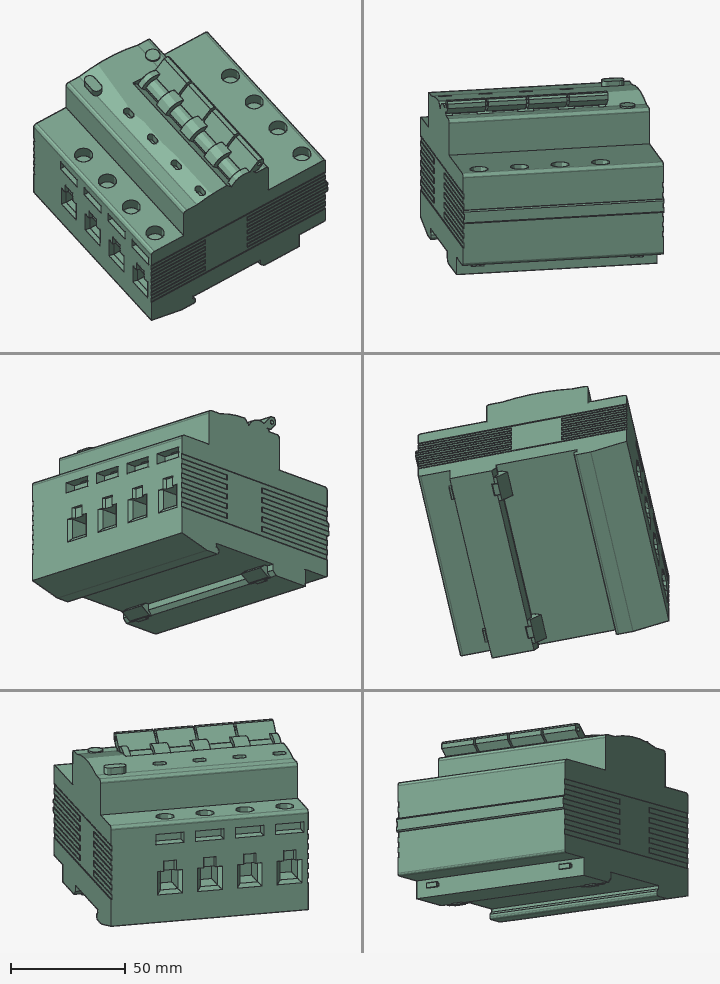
import cadquery as cq
import math


width = 89.0
back_y = 92.7
edge_radius = 1.6
lower_edge_radius = 1.1

shoulder_z = 49.4
crown_front_y = 17.2
crown_back_y = 62.2
crown_z = 65.5
dome_front_y = 24.2
dome_back_y = 55.3
dome_rise = 2.2
dome_mid_y = (dome_front_y + dome_back_y) / 2
dome_z = crown_z + dome_rise

back_tab_y = 93.8
back_tab_low_z = 27.2
back_tab_high_z = 33.2
back_tab_chamfer = 0.6

front_slope_z = 3.8
front_slope_y = 15.9
rail_z = 4.8
rail_front_y = 22.1
rail_back_y = 58.0
hook_nose_y = 23.45
hook_low_z = 1.1
hook_high_z = 2.25
hook_top_z = 3.4
back_foot_z = 2.0
back_foot_y = 59.9
back_step_y = 78.6
back_step_z = 7.9

pole_count = 4
pole_pitch = 18.0
first_pole_x = 17.5
pole_edges = [first_pole_x + i * pole_pitch for i in range(pole_count + 1)]
pole_centers = [edge + pole_pitch / 2 for edge in pole_edges[:-1]]

screw_hole_diameter = 7.8
screw_hole_depth = 5.2
screw_hole_ys = (7.9, 85.9)

label_width = 12.8
label_low_z = 39.4
label_high_z = 44.1
label_depth = 5.2

terminal_width = 11.3
terminal_low_z = 16.4
terminal_high_z = 27.0
terminal_depth = 11.3
funnel_depth = 1.4
funnel_inset = 1.7
notch_width = 5.7
notch_inset = 0.7
notch_high_z = 31.6

indicator_length = 5.8
indicator_width = 2.8
indicator_y = 29.4
indicator_offset = 3.6
indicator_floor_z = 62.8

band_low_z = 16.0
band_high_z = 40.5
band_depth = 0.4
rib_count = 5
rib_front_end_y = 28.9
rib_back_start_y = 51.2

handle_start_x = 17.9
handle_gap = 1.0
axle_y = 49.3
axle_z = 61.4
hub_radius = 7.5
hub_width = 7.0
hub_end_inset = 0.2
barrel_radius = 5.2
trough_front_y = 40.1
trough_corner_y = 44.9
trough_floor_z = 62.7
trough_back_y = 50.65

blade_top_z = 72.8
blade_top_front_y = 56.75
blade_top_back_y = 58.8
blade_back_y = 59.7
blade_bevel_z = 71.85
blade_back_low_z = 69.8
blade_heel_y = 56.7
blade_heel_z = 66.8
blade_neck_y = 54.2
blade_root_y = 50.6
blade_root_z = blade_top_z - (blade_top_front_y - blade_root_y)

tie_rod_diameter = 1.8
tie_rod_y = 57.4
tie_rod_z = 70.35
tie_rod_recess = 1.9

button_x = 8.8
test_button_y = 25.4
test_button_length = 9.85
test_button_width = 4.8
test_button_z = 68.6
reset_button_y = 57.1
reset_button_diameter = 6.5
reset_button_z = 66.2

clip_width = 11.5
clip_margin = 3.4
clip_centers = (clip_margin + clip_width / 2, width - clip_margin - clip_width / 2)
clip_tip_y = 53.7
clip_tip_z = 2.8
clip_top_y = 56.3
clip_heel_y = 58.5
clip_heel_z = -0.2
clip_foot_width = 5.5
clip_foot_z = -0.6
clip_foot_back_y = 61.3
clip_foot_slant = 0.4
pull_back_y = 80.3
pull_plate_thickness = 1.0
pull_low_z = 3.8
pull_high_z = 6.0
pull_stem_height = 1.1


def span(x0, x1, y0, y1, z0, z1):
    """Box between two opposite corners."""
    return cq.Workplane("XY").box(x1 - x0, y1 - y0, z1 - z0, centered=False).translate((x0, y0, z0))


def across(points, x0, x1):
    """Prism along X with the given (y, z) outline."""
    return cq.Workplane("YZ").workplane(offset=x0).polyline(points).close().extrude(x1 - x0)


def rod(y, z, radius, x0, x1):
    """Cylinder along X."""
    return cq.Workplane("YZ").workplane(offset=x0).center(y, z).circle(radius).extrude(x1 - x0)


def make_housing():
    hook_arc_inset = hook_low_z * (1 - math.sqrt(0.5))
    housing = (
        cq.Workplane("YZ")
        .moveTo(0, front_slope_z)
        .lineTo(front_slope_y, 0)
        .lineTo(hook_nose_y - hook_low_z, 0)
        .threePointArc(
            (hook_nose_y - hook_arc_inset, hook_arc_inset),
            (hook_nose_y, hook_low_z),
        )
        .lineTo(hook_nose_y, hook_high_z)
        .lineTo(rail_front_y, hook_top_z)
        .lineTo(rail_front_y, rail_z)
        .lineTo(rail_back_y, rail_z)
        .lineTo(rail_back_y, back_foot_z)
        .lineTo(back_foot_y, 0)
        .lineTo(back_step_y, 0)
        .lineTo(back_step_y, back_step_z)
        .lineTo(back_y, back_step_z)
        .lineTo(back_y, shoulder_z)
        .lineTo(crown_back_y, shoulder_z)
        .lineTo(crown_back_y, crown_z)
        .lineTo(dome_back_y, crown_z)
        .threePointArc((dome_mid_y, dome_z), (dome_front_y, crown_z))
        .lineTo(crown_front_y, crown_z)
        .lineTo(crown_front_y, shoulder_z)
        .lineTo(0, shoulder_z)
        .close()
        .extrude(width)
    )
    upper_corners = ((0, shoulder_z), (back_y, shoulder_z), (crown_front_y, crown_z), (crown_back_y, crown_z))
    for y, z in upper_corners:
        housing = housing.edges(cq.selectors.NearestToPointSelector((width / 2, y, z))).fillet(edge_radius)
    lower_corner = cq.selectors.NearestToPointSelector((width / 2, back_y, back_step_z))
    return housing.edges(lower_corner).fillet(lower_edge_radius)


def make_back_tab():
    return across(
        [
            (back_step_y, back_tab_low_z),
            (back_tab_y - back_tab_chamfer, back_tab_low_z),
            (back_tab_y, back_tab_low_z + back_tab_chamfer),
            (back_tab_y, back_tab_high_z - back_tab_chamfer),
            (back_tab_y - back_tab_chamfer, back_tab_high_z),
            (back_step_y, back_tab_high_z),
        ],
        0,
        width,
    )


def make_side_recess(x0):
    """Shallow band on one end of the housing, interrupted by ribs level with that end."""
    x1 = x0 + band_depth
    recess = span(x0, x1, 0, back_tab_y, band_low_z, band_high_z)
    stripe = (band_high_z - band_low_z) / (2 * rib_count + 1)
    for i in range(rib_count):
        z0 = band_low_z + (2 * i + 1) * stripe
        recess = recess.cut(span(x0, x1, 0, rib_front_end_y, z0, z0 + stripe))
        recess = recess.cut(span(x0, x1, rib_back_start_y, back_tab_y, z0, z0 + stripe))
    return recess


def front_loft(front, back):
    """Tapered pocket from a (half width, low z, high z) opening at the face to one at the funnel depth."""
    wires = []
    for y, (half, low, high) in ((0, front), (funnel_depth, back)):
        corners = [(-half, y, low), (half, y, low), (half, y, high), (-half, y, high)]
        wires.append(cq.Wire.makePolygon([cq.Vector(*c) for c in corners], close=True))
    return cq.Workplane(cq.Solid.makeLoft(wires, True))


def make_terminal_pocket():
    """Wire entry centred on X = 0: funnel, straight pocket behind it and a shallow notch above."""
    half = terminal_width / 2
    throat_half = half - funnel_inset
    throat_low_z = terminal_low_z + funnel_inset
    notch_half = notch_width / 2
    funnel = front_loft(
        (half, terminal_low_z, terminal_high_z),
        (throat_half, throat_low_z, terminal_high_z),
    )
    notch = front_loft(
        (notch_half, terminal_high_z, notch_high_z),
        (notch_half - notch_inset, terminal_high_z, notch_high_z),
    )
    throat = span(-throat_half, throat_half, 0, terminal_depth, throat_low_z, terminal_high_z)
    return throat.union(funnel).union(notch)


def cut_pole_features(body):
    terminal = make_terminal_pocket()
    for x in pole_centers:
        body = body.cut(terminal.translate((x, 0, 0)))
        body = body.cut(
            span(x - label_width / 2, x + label_width / 2, 0, label_depth, label_low_z, label_high_z)
        )
        for y in screw_hole_ys:
            hole = cq.Workplane("XY").circle(screw_hole_diameter / 2).extrude(screw_hole_depth)
            body = body.cut(hole.translate((x, y, shoulder_z - screw_hole_depth)))
        indicator = (
            cq.Workplane("XY")
            .slot2D(indicator_length, indicator_width)
            .extrude(dome_z - indicator_floor_z)
        )
        body = body.cut(indicator.translate((x + indicator_offset, indicator_y, indicator_floor_z)))
    return body


def make_trough():
    """Sloping opening in the dome around the handle barrel, open at the right end."""
    return across(
        [
            (trough_front_y, dome_z),
            (trough_corner_y, trough_floor_z),
            (trough_back_y, trough_floor_z),
            (trough_back_y, dome_z),
        ],
        handle_start_x,
        width,
    )


def make_handles():
    """Blades on a ribbed barrel, joined by a tie rod whose bore stays open at both ends."""
    barrel_flat = span(
        handle_start_x, width, axle_y - barrel_radius, trough_corner_y, trough_floor_z, axle_z + barrel_radius
    )
    handles = rod(axle_y, axle_z, barrel_radius, handle_start_x, width).cut(barrel_flat)
    for edge in pole_edges:
        x0 = max(edge - hub_width / 2, handle_start_x + hub_end_inset)
        x1 = min(edge + hub_width / 2, width)
        handles = handles.union(rod(axle_y, axle_z, hub_radius, x0, x1))
    blade_outline = [
        (blade_root_y, blade_root_z),
        (blade_top_front_y, blade_top_z),
        (blade_top_back_y, blade_top_z),
        (blade_back_y, blade_bevel_z),
        (blade_back_y, blade_back_low_z),
        (blade_heel_y, blade_heel_z),
        (blade_neck_y, blade_heel_z),
        (blade_neck_y, axle_z),
        (blade_root_y, axle_z),
    ]
    inner_edges = pole_edges[1:-1]
    blade_starts = [handle_start_x] + [edge + handle_gap / 2 for edge in inner_edges]
    blade_ends = [edge - handle_gap / 2 for edge in inner_edges] + [width]
    for x0, x1 in zip(blade_starts, blade_ends):
        handles = handles.union(across(blade_outline, x0, x1))
    tie_rod_radius = tie_rod_diameter / 2
    handles = handles.union(rod(tie_rod_y, tie_rod_z, tie_rod_radius, blade_ends[0], blade_starts[-1]))
    for x in (handle_start_x, width - tie_rod_recess):
        handles = handles.cut(rod(tie_rod_y, tie_rod_z, tie_rod_radius, x, x + tie_rod_recess))
    return handles


def make_buttons():
    test = (
        cq.Workplane("XY", origin=(button_x, test_button_y, shoulder_z))
        .slot2D(test_button_length, test_button_width)
        .extrude(test_button_z - shoulder_z)
    )
    reset = (
        cq.Workplane("XY", origin=(button_x, reset_button_y, shoulder_z))
        .circle(reset_button_diameter / 2)
        .extrude(reset_button_z - shoulder_z)
    )
    return test.union(reset)


def make_clip(x):
    """Spring clip: pointed nose under the rail, a small foot and a pull tab at the back."""
    nose = across(
        [
            (clip_top_y, rail_z),
            (clip_tip_y, clip_tip_z),
            (clip_heel_y, clip_heel_z),
            (back_foot_y, clip_heel_z),
            (back_foot_y, rail_z),
        ],
        x - clip_width / 2,
        x + clip_width / 2,
    )
    foot_x0 = x - clip_foot_width / 2
    foot_x1 = x + clip_foot_width / 2
    foot = across(
        [
            (clip_heel_y, rail_z),
            (clip_heel_y, clip_foot_z),
            (clip_foot_back_y - clip_foot_slant, clip_foot_z),
            (clip_foot_back_y, 0),
            (clip_foot_back_y, rail_z),
        ],
        foot_x0,
        foot_x1,
    )
    stem_z0 = (pull_low_z + pull_high_z - pull_stem_height) / 2
    stem = span(foot_x0, foot_x1, clip_foot_back_y, pull_back_y, stem_z0, stem_z0 + pull_stem_height)
    plate = span(foot_x0, foot_x1, pull_back_y - pull_plate_thickness, pull_back_y, pull_low_z, pull_high_z)
    return nose.union(foot).union(stem).union(plate)


body = make_housing().union(make_back_tab())
for recess_x in (0, width - band_depth):
    body = body.cut(make_side_recess(recess_x))
body = cut_pole_features(body)
body = body.cut(make_trough()).union(make_handles()).union(make_buttons())
for clip_x in clip_centers:
    body = body.union(make_clip(clip_x))

result = body